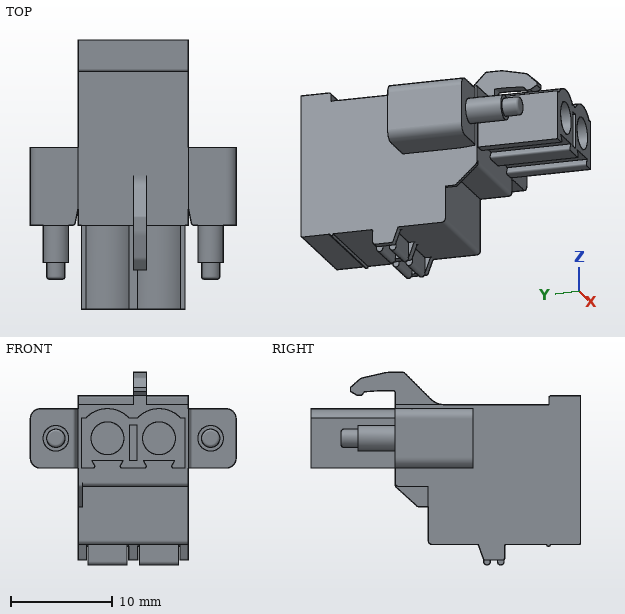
import cadquery as cq
import math


body_half_width = 5.43
body_length = 18.3
deck_height = 13.8
rim_height = 14.68
rim_depth = 3.15
rim_round = 0.25
step_y = 3.27
step_height = 5.75
step_round = 0.35
bottom_front_round = 0.37
bottom_rear_round = 0.15
nub_y = 15.14
nub_radius = 0.19

gusset_thickness = 0.43
gusset_bottom = 3.72
gusset_nose_y = 2.23
gusset_top_round = 0.35
gusset_nose_round = 0.25

pole_spacing = 5.08
pole_z = 10.48
hole_diameter = 3.25
hole_depth = 1.0

plug_length = 8.3
plug_half_width = 5.1
plug_bottom = 7.53
plug_shoulder_z = 12.5
barrel_radius = 2.93
slot_width = 0.75
slot_bottom = 8.27
slot_top = 11.78
groove_depth = 0.75
groove_root_half_width = 1.55
groove_mouth_half_width = 1.12
groove_lip_round = 0.19

wing_reach = 10.15
wing_length = 7.7
wing_bottom = plug_bottom
wing_top = pole_z + barrel_radius
wing_round = 1.0
relief_length = 1.68
relief_gap = 0.35
relief_round = 0.27
pin_x = 7.63
pin_diameter = 2.53
pin_length = 3.67
tip_diameter = 1.8
tip_end = 5.32
tip_round = 0.27

latch_width = 1.33
latch_top = 17.0
latch_peak_y = 0.88
latch_under_z = 15.15
latch_crest = (-0.8, latch_top)
latch_brow = (-3.38, 16.4)
latch_nose_top = (-4.42, 15.48)
latch_nose_bottom = (-4.42, 15.1)
latch_barb_front = (-3.75, 14.7)
latch_barb_rear = (-3.3, 14.7)
latch_barb_root = (-3.0, 15.05)
latch_under_bend_y = -1.5
latch_heel_round = 1.97
latch_peak_round = 0.27
latch_crest_round = 2.13
latch_brow_round = 0.8
latch_armpit_round = 0.15

foot_rear_y = 10.83
foot_front_y = 8.2
foot_toe_y = 8.75
foot_height = 1.55
foot_round = 0.2
foot_root_round = 0.15
side_foot_width = 0.82
middle_foot_width = 0.9
lever_width = 3.88
lever_height = 2.02
lever_thickness = 0.66
lever_ys = (9.07, 10.43)

overlap = 0.27


def box(x_range, y_range, z_range):
    """Box between the given (low, high) limits on each axis."""
    size = [high - low for low, high in (x_range, y_range, z_range)]
    corner = (x_range[0], y_range[0], z_range[0])
    return cq.Workplane("XY").box(*size, centered=False).translate(corner)


def side_prism(points, x_low, x_high):
    """Prism across X from an outline of (Y, Z) points."""
    return cq.Workplane("YZ", origin=(x_low, 0, 0)).polyline(points).close().extrude(x_high - x_low)


def round_edges(solid, direction, point, radius):
    """Fillet the edge along `direction` that lies nearest to a point."""
    edges = solid.edges("|" + direction).edges(cq.selectors.NearestToPointSelector(point))
    return edges.fillet(radius)


def make_body():
    rim_y = body_length - rim_depth
    outline = [
        (0, step_height), (0, deck_height), (rim_y, deck_height), (rim_y, rim_height),
        (body_length, rim_height), (body_length, 0), (step_y, 0), (step_y, step_height),
    ]
    body = side_prism(outline, -body_half_width, body_half_width)
    rounds = [
        ((0, 0, step_height), step_round),
        ((0, rim_y, rim_height), rim_round),
        ((0, step_y, 0), bottom_front_round),
        ((0, body_length, 0), bottom_rear_round),
    ]
    for point, radius in rounds:
        body = round_edges(body, "X", point, radius)
    nub = cq.Workplane("YZ", origin=(0, nub_y, 0)).circle(nub_radius).extrude(body_half_width, both=True)
    return body.union(nub)


def make_gusset():
    outer_x = -body_half_width
    top = step_height + step_round
    outline = [
        (0, top), (0, step_height), (gusset_nose_y, gusset_bottom),
        (step_y + overlap, gusset_bottom), (step_y + overlap, top),
    ]
    gusset = side_prism(outline, outer_x, outer_x + gusset_thickness)
    middle_x = outer_x + gusset_thickness / 2
    gusset = round_edges(gusset, "X", (middle_x, 0, step_height), gusset_top_round)
    return round_edges(gusset, "X", (middle_x, gusset_nose_y, gusset_bottom), gusset_nose_round)


def make_barrel_crown(centre_x):
    """Part of a pole's round barrel that stands above the plug shoulders."""
    half_chord = math.sqrt(barrel_radius**2 - (plug_shoulder_z - pole_z) ** 2)
    return (
        cq.Workplane("XZ", origin=(0, overlap, 0))
        .moveTo(centre_x - half_chord, plug_shoulder_z)
        .threePointArc((centre_x, pole_z + barrel_radius), (centre_x + half_chord, plug_shoulder_z))
        .close()
        .extrude(plug_length + overlap)
    )


def make_plug():
    plug = box(
        (-plug_half_width, plug_half_width), (-plug_length, overlap), (plug_bottom, plug_shoulder_z)
    )
    poles = [(-pole_spacing / 2, pole_z), (pole_spacing / 2, pole_z)]
    for pole_x, _ in poles:
        plug = plug.union(make_barrel_crown(pole_x))

    front = cq.Workplane("XZ", origin=(0, -plug_length, 0))
    plug = plug.cut(front.pushPoints(poles).circle(hole_diameter / 2).extrude(-hole_depth))
    slot = box(
        (-slot_width / 2, slot_width / 2), (-plug_length, hole_depth - plug_length), (slot_bottom, slot_top)
    )
    plug = plug.cut(slot)
    for pole_x, _ in poles:
        plug = cut_groove(plug, pole_x)
    return plug


def cut_groove(plug, centre_x):
    """Dovetail groove under one pole, with rounded lips."""
    root_z = plug_bottom + groove_depth
    outline = [
        (centre_x - groove_mouth_half_width, plug_bottom),
        (centre_x - groove_root_half_width, root_z),
        (centre_x + groove_root_half_width, root_z),
        (centre_x + groove_mouth_half_width, plug_bottom),
    ]
    groove = cq.Workplane("XZ").polyline(outline).close().extrude(plug_length)
    plug = plug.cut(groove)
    for side in (-1, 1):
        lip = (centre_x + side * groove_mouth_half_width, -plug_length / 2, plug_bottom)
        plug = round_edges(plug, "Y", lip, groove_lip_round)
    return plug


def make_wing():
    """Wing and pin on the +X side."""
    outline = [
        (body_half_width - overlap, wing_length), (wing_reach, wing_length), (wing_reach, 0),
        (body_half_width + relief_gap, 0), (body_half_width, relief_length),
        (body_half_width - overlap, relief_length),
    ]
    plan = cq.Workplane("XY", origin=(0, 0, wing_bottom)).polyline(outline).close()
    wing = plan.extrude(wing_top - wing_bottom)
    wing = round_edges(wing, "Z", (body_half_width + relief_gap, 0, pole_z), relief_round)
    for corner_z in (wing_bottom, wing_top):
        wing = round_edges(wing, "Y", (wing_reach, wing_length / 2, corner_z), wing_round)

    axis = cq.Workplane("XZ", origin=(pin_x, 0, pole_z))
    shank = axis.circle(pin_diameter / 2).extrude(pin_length)
    tip = axis.circle(tip_diameter / 2).extrude(tip_end).faces("<Y").edges().fillet(tip_round)
    return wing.union(shank).union(tip)


def add_latch(body):
    """Hook rising at 45 degrees from the deck and reaching over the plug."""
    heel_y = latch_peak_y + latch_top - deck_height
    outline = [
        (0, deck_height - overlap), (0, latch_under_z), (latch_under_bend_y, latch_under_z),
        latch_barb_root, latch_barb_rear, latch_barb_front, latch_nose_bottom, latch_nose_top,
        latch_brow, latch_crest, (latch_peak_y, latch_top),
        (heel_y, deck_height), (heel_y, deck_height - overlap),
    ]
    latch = side_prism(outline, 0, latch_width)
    rounds = [
        ((latch_peak_y, latch_top), latch_peak_round),
        (latch_crest, latch_crest_round),
        (latch_brow, latch_brow_round),
        ((0, latch_under_z), latch_armpit_round),
    ]
    for (y, z), radius in rounds:
        latch = round_edges(latch, "X", (latch_width / 2, y, z), radius)
    return round_edges(body.union(latch), "X", (latch_width / 2, heel_y, deck_height), latch_heel_round)


def add_feet(body):
    """Two side feet and a middle foot, blended into the body underside."""
    outline = [
        (foot_rear_y, overlap), (foot_rear_y, -foot_height), (foot_toe_y, -foot_height),
        (foot_front_y, 0), (foot_front_y, overlap),
    ]
    inner_x = body_half_width - side_foot_width
    spans = [
        (-body_half_width, -inner_x),
        (-middle_foot_width / 2, middle_foot_width / 2),
        (inner_x, body_half_width),
    ]
    for x_low, x_high in spans:
        middle_x = (x_low + x_high) / 2
        foot = side_prism(outline, x_low, x_high)
        foot = foot.faces("<Z").edges("|X").fillet(foot_round)
        body = body.union(foot)
        for root_y in (foot_front_y, foot_rear_y):
            body = round_edges(body, "X", (middle_x, root_y, 0), foot_root_round)
    return body


def make_levers():
    """Pairs of round-ended bars hanging below each pole."""
    radius = lever_thickness / 2
    levers = cq.Workplane("XY")
    for pole_x in (-pole_spacing / 2, pole_spacing / 2):
        for lever_y in lever_ys:
            lever = box(
                (pole_x - lever_width / 2, pole_x + lever_width / 2),
                (lever_y - radius, lever_y + radius),
                (radius - lever_height, overlap),
            )
            end = cq.Workplane("YZ", origin=(pole_x, lever_y, radius - lever_height))
            levers = levers.add(lever.union(end.circle(radius).extrude(lever_width / 2, both=True)))
    return levers.combine()


right_wing = make_wing()
result = (
    add_latch(add_feet(make_body()))
    .union(make_gusset())
    .union(make_plug())
    .union(right_wing)
    .union(right_wing.mirror("YZ"))
    .union(make_levers())
)